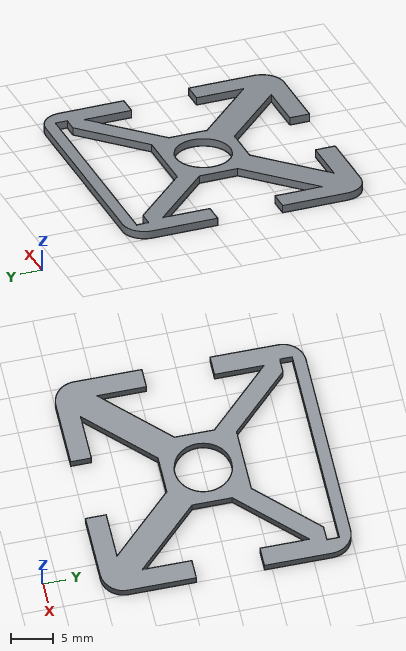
import cadquery as cq

side = 30.0
thickness = 1.0
corner_radius = 2.75
half = side / 2

core_half = 4.9
bore_diameter = 6.8

wall = 2.5
mouth_half = 4.08
spoke_offset = 2.5

top_wall = 1.5
pocket_height = 1.5
pocket_half = 13.0
top_flank_core_half = 4.08
pocket_top = half - top_wall
pocket_bottom = pocket_top - pocket_height
top_flank_half = top_flank_core_half + pocket_bottom - core_half


def mirrored_prism(right_side):
    """Extrude an outline given by its +X points, mirrored across the Y axis."""
    left_side = [(-x, y) for x, y in reversed(right_side)]
    return cq.Workplane("XY").polyline(right_side + left_side).close().extrude(thickness)


def open_slot():
    """T-slot with 45 degree flanks, opening toward +Y."""
    inner = half - wall
    return mirrored_prism([
        (core_half - spoke_offset, core_half),
        (inner - spoke_offset, inner),
        (mouth_half, inner),
        (mouth_half, half),
    ])


def closed_cavity():
    """Cavity behind the unbroken top wall, with a wider pocket along that wall."""
    return mirrored_prism([
        (top_flank_core_half, core_half),
        (top_flank_half, pocket_bottom),
        (pocket_half, pocket_bottom),
        (pocket_half, pocket_top),
    ])


result = (
    cq.Workplane("XY")
    .rect(side, side)
    .extrude(thickness)
    .edges("|Z")
    .fillet(corner_radius)
    .faces(">Z")
    .workplane()
    .hole(bore_diameter)
)

for angle in (90, 180, 270):
    result = result.cut(open_slot().rotate((0, 0, 0), (0, 0, 1), angle))

result = result.cut(closed_cavity())